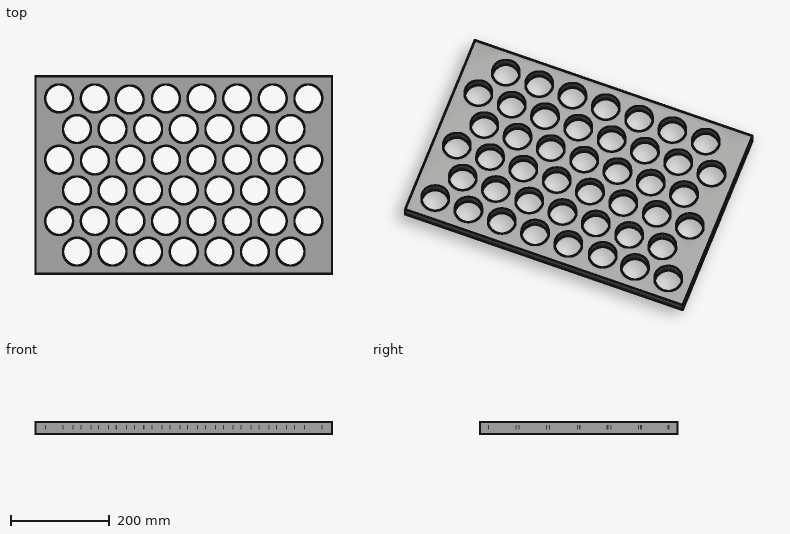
import cadquery as cq

LENGTH = 600.0
WIDTH = 400.0
THICKNESS = 25.0

HOLE_DIAMETER = 56.0
HOLE_PITCH = 72.0
ROW_PITCH = 62.0
ROW_COUNT = 6
LONG_ROW_HOLES = 8
SHORT_ROW_HOLES = LONG_ROW_HOLES - 1

HOLE_SHIFTS = {
    (0, 2): (-1.4, -2.1),
    (2, 1): (0.2, -1.6),
}


def holes_in_row(row):
    """Number of holes in a row, counting rows from the +Y edge."""
    return LONG_ROW_HOLES if row % 2 == 0 else SHORT_ROW_HOLES


def hole_centre(row, column):
    """Centre of one hole, with columns counted from the -X edge."""
    middle_row = (ROW_COUNT - 1) / 2
    middle_column = (holes_in_row(row) - 1) / 2
    shift_x, shift_y = HOLE_SHIFTS.get((row, column), (0.0, 0.0))
    x = (column - middle_column) * HOLE_PITCH + shift_x
    y = (middle_row - row) * ROW_PITCH + shift_y
    return x, y


def make_plate():
    """Flat rectangular plate centred on the origin."""
    return cq.Workplane("XY").box(LENGTH, WIDTH, THICKNESS)


def make_hole_cutters():
    """Cylinders for all the through holes."""
    centres = []
    for row in range(ROW_COUNT):
        for column in range(holes_in_row(row)):
            centres.append(hole_centre(row, column))
    bottom_plane = cq.Workplane("XY").workplane(offset=-THICKNESS / 2)
    return bottom_plane.pushPoints(centres).circle(HOLE_DIAMETER / 2).extrude(THICKNESS)


result = make_plate().cut(make_hole_cutters())